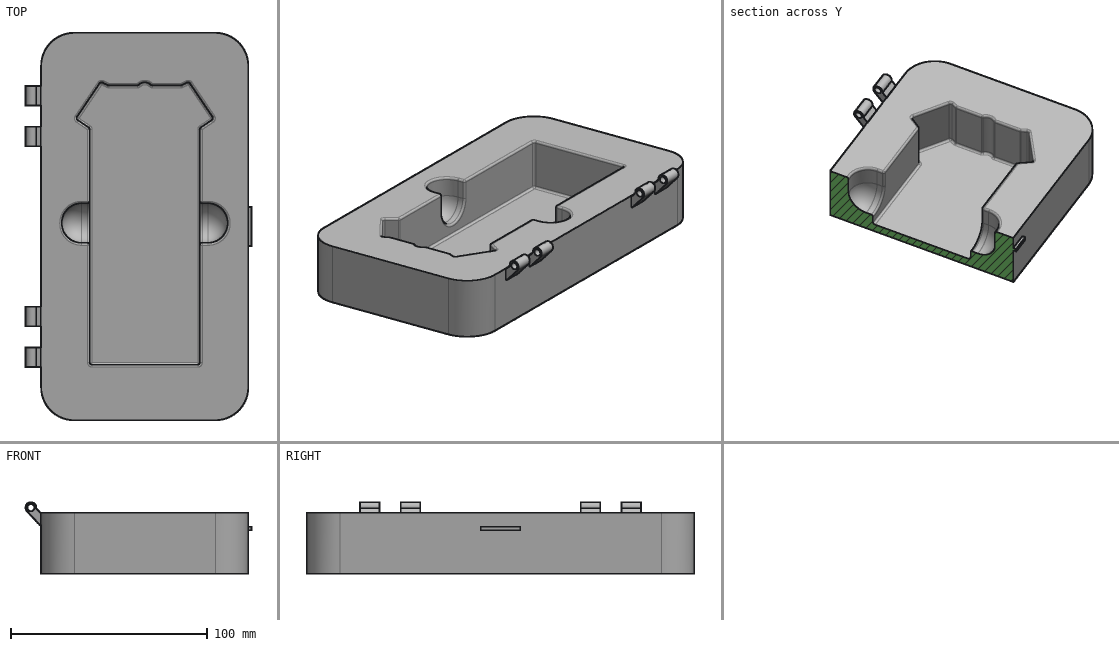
import cadquery as cq
import math

body_width = 105.5
body_length = 197.4
body_height = 31.2
body_corner_radius = 17.0

pocket_depth = 26.0
edge_radius = 1.15
trunk_half_width = 28.0
trunk_bottom_y = -70.3
shoulder_line_y = 71.8
neck_half_width = 18.5
sleeve_angle = math.radians(34)
sleeve_opening = 22.7
sleeve_tip_x = 35.1
sleeve_tip_y = 54.9
collar_height = 1.5
collar_half_width = 3.4

scoop_radius = 10.0
scoop_center_x = 32.2
scoop_center_y = 1.8
scoop_center_depth = 10.0

knuckle_radius = 2.8
pin_hole_diameter = 3.5
knuckle_length = 10.0
knuckle_reach = 7.9
knuckle_rise = 5.3
knuckle_centers_y = (-66.5, -45.8, 45.8, 66.5)
arm_angle = 47
arm_top_offset = 1.8
arm_length = 9.9

latch_reach = 1.5
latch_length = 20.0
latch_height = 2.0
latch_depth = 8.0


def make_body():
    block = cq.Workplane("XY").box(body_width, body_length, body_height, centered=(True, True, False))
    return block.edges("|Z").fillet(body_corner_radius)


def make_pocket():
    armpit_y = sleeve_tip_y - (sleeve_tip_x - trunk_half_width) * math.tan(sleeve_angle)
    sleeve_top_x = sleeve_tip_x - sleeve_opening * math.sin(sleeve_angle)
    sleeve_top_y = sleeve_tip_y + sleeve_opening * math.cos(sleeve_angle)
    right_side = [
        (trunk_half_width, trunk_bottom_y),
        (trunk_half_width, armpit_y),
        (sleeve_tip_x, sleeve_tip_y),
        (sleeve_top_x, sleeve_top_y),
        (neck_half_width, shoulder_line_y),
        (collar_half_width, shoulder_line_y),
    ]
    left_side = [(-x, y) for x, y in reversed(right_side)]
    collar_top = (0, shoulder_line_y + collar_height)
    pocket = (
        cq.Workplane("XY", origin=(0, 0, body_height - pocket_depth))
        .polyline(right_side)
        .threePointArc(collar_top, left_side[0])
        .polyline(left_side[1:], includeCurrent=True)
        .close()
        .extrude(pocket_depth)
    )
    return pocket.edges("|Z").fillet(edge_radius).faces("<Z").edges().fillet(edge_radius)


def make_scoops():
    """One capsule across the trunk, opened upwards, forms both scoops."""
    center_z = body_height - scoop_center_depth
    upper = (
        cq.Workplane("XY", origin=(0, scoop_center_y, center_z))
        .slot2D(2 * (scoop_center_x + scoop_radius), 2 * scoop_radius)
        .extrude(scoop_center_depth)
    )
    lower = (
        cq.Workplane("YZ", origin=(-scoop_center_x, scoop_center_y, center_z))
        .circle(scoop_radius)
        .extrude(2 * scoop_center_x)
    )
    scoops = upper.union(lower)
    for side in (-1, 1):
        end = cq.Workplane("XY").sphere(scoop_radius)
        scoops = scoops.union(end.translate((side * scoop_center_x, scoop_center_y, center_z)))
    return scoops


def make_knuckle(center_y):
    axis_x = -body_width / 2 - knuckle_reach + knuckle_radius
    axis_z = body_height + knuckle_rise - knuckle_radius
    plane = cq.Workplane("XZ", origin=(axis_x, center_y + knuckle_length / 2, axis_z))
    barrel = plane.circle(knuckle_radius).extrude(knuckle_length)
    arm = (
        plane.transformed(rotate=(0, 0, -arm_angle))
        .moveTo(0, -knuckle_radius)
        .rect(arm_length, knuckle_radius + arm_top_offset, centered=False)
        .extrude(knuckle_length)
    )
    full_height = body_height + knuckle_rise
    inside_wall = cq.Workplane("XY").box(body_width, body_length, 2 * full_height)
    arm = arm.cut(inside_wall)
    pin_hole = plane.circle(pin_hole_diameter / 2).extrude(knuckle_length)
    return barrel.union(arm).cut(pin_hole)


def make_latch():
    center = (body_width / 2 + latch_reach / 2, 0, body_height - latch_depth)
    return cq.Workplane("XY").box(latch_reach, latch_length, latch_height).translate(center)


def round_mouths(case):
    """Round the upright profiles where the scoops break through the trunk walls."""
    lowest_z = body_height - scoop_center_depth - scoop_radius
    half_length = scoop_radius + edge_radius
    for side in (-1, 1):
        wall_x = side * trunk_half_width
        profile = cq.selectors.BoxSelector(
            (wall_x - edge_radius, scoop_center_y - half_length, lowest_z),
            (wall_x + edge_radius, scoop_center_y + half_length, body_height - edge_radius),
        )
        case = case.edges(profile).fillet(edge_radius)
    return case


def round_rim(case):
    """Round the top edge of the recess, leaving the outer edge of the case sharp."""
    half_width = body_width / 2 - edge_radius
    half_length = body_length / 2 - body_corner_radius
    recess = cq.selectors.BoxSelector(
        (-half_width, -half_length, body_height - edge_radius),
        (half_width, half_length, body_height + edge_radius),
    )
    return case.faces(">Z").edges(recess).fillet(edge_radius)


result = make_body().cut(make_pocket()).cut(make_scoops())
result = round_rim(round_mouths(result))
for center_y in knuckle_centers_y:
    result = result.union(make_knuckle(center_y))
result = result.union(make_latch())